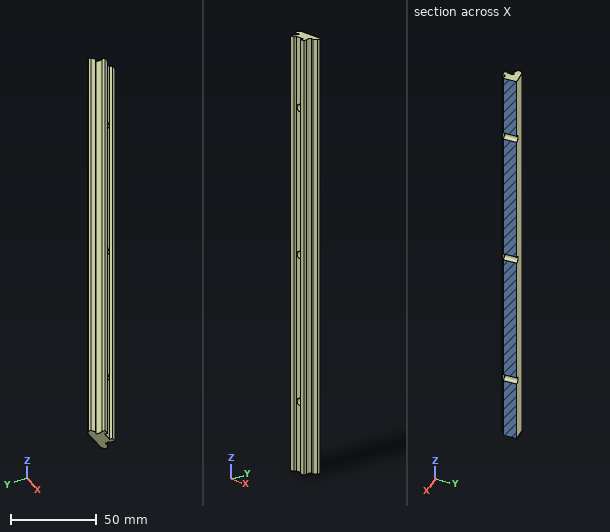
import cadquery as cq

length = 266.0
width = 20.2
depth = 10.5

back_chamfer = 1.5
head_side_height = 1.5
lip_bevel_width = 2.5
lip_bevel_drop = 1.5
underside_rise = 0.5

web_top_width = 11.2
web_waist_width = 10.6
web_height = 4.0

foot_width = 12.2
groove_width = 5.9
groove_depth = 1.9

hole_diameter = 4.3
hole_pitch = 90.0
hole_count = 3

back_y = depth / 2
side_top_y = back_y - back_chamfer
side_bottom_y = side_top_y - head_side_height
head_bottom_y = side_bottom_y - lip_bevel_drop
web_top_y = head_bottom_y + underside_rise
web_bottom_y = web_top_y - web_height
foot_y = -depth / 2


def rail_half():
    """Make the +X half of the rail section and extrude it along Z."""
    half_width = width / 2
    web_middle_y = (web_top_y + web_bottom_y) / 2
    return (
        cq.Workplane("XY")
        .moveTo(0, back_y)
        .lineTo(half_width - back_chamfer, back_y)
        .lineTo(half_width, side_top_y)
        .lineTo(half_width, side_bottom_y)
        .lineTo(half_width - lip_bevel_width, head_bottom_y)
        .lineTo(web_top_width / 2, web_top_y)
        .threePointArc((web_waist_width / 2, web_middle_y), (foot_width / 2, web_bottom_y))
        .lineTo(foot_width / 2, foot_y)
        .lineTo(groove_width / 2, foot_y)
        .lineTo(groove_width / 2, foot_y + groove_depth)
        .lineTo(0, foot_y + groove_depth)
        .close()
        .extrude(length / 2, both=True)
    )


def mounting_holes():
    """Make a row of through-hole cutters centred along the rail."""
    return (
        cq.Workplane("XZ")
        .rarray(2.7, hole_pitch, 1, hole_count)
        .circle(hole_diameter / 2)
        .extrude(depth, both=True)
    )


half = rail_half()
rail = half.union(half.mirror("YZ")).clean()
result = rail.cut(mounting_holes())